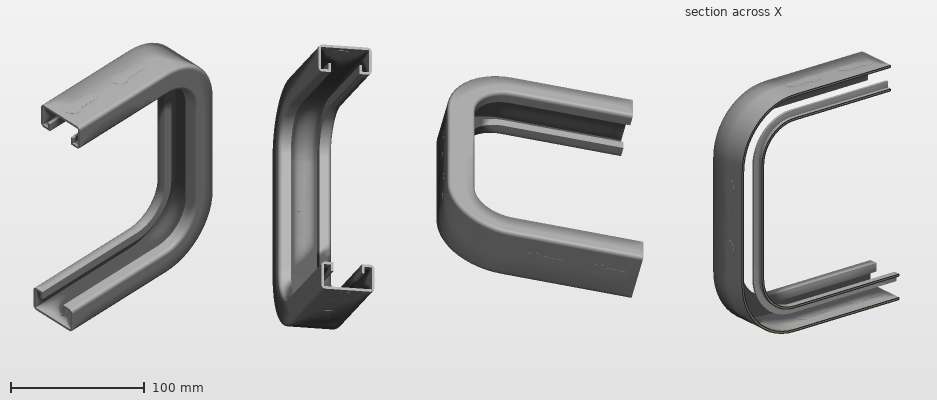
import cadquery as cq
import math

width = 41.0
depth = 21.0
wall = 2.0
corner_radius = 3.25
slot_opening = 22.0
lip_depth = 7.0
lip_thickness = 2.0

body_height = 191.78
lower_arm_reach = 150.0
upper_arm_setback = 8.0
bend_radius = 50.0
upper_arm_reach = lower_arm_reach - upper_arm_setback
half_height = body_height / 2

arc_inset = 1 - math.sqrt(0.5)

pad_head_radius = 6.5
pad_slot_radius = 4.25
pad_slot_length = 19.5
pad_pitch = 50.0
pads_per_web = 2
pad_proud = 0.2
pad_end_margin = 6.0
pad_web_margin = 9.6

pad_thickness = wall + 2 * pad_proud


def channel_section():
    """Lipped channel section: right half drawn from the web inwards, then mirrored."""
    half_width = width / 2
    half_slot = slot_opening / 2
    corner_mid = corner_radius * arc_inset
    return (
        cq.Workplane("XZ", origin=(0, -lower_arm_reach, -half_height))
        .moveTo(0, 0)
        .lineTo(half_width - corner_radius, 0)
        .threePointArc((half_width - corner_mid, corner_mid), (half_width, corner_radius))
        .lineTo(half_width, depth - corner_radius)
        .threePointArc((half_width - corner_mid, depth - corner_mid), (half_width - corner_radius, depth))
        .lineTo(half_slot, depth)
        .lineTo(half_slot, depth - lip_depth)
        .lineTo(half_slot + lip_thickness, depth - lip_depth)
        .lineTo(half_slot + lip_thickness, depth - wall)
        .lineTo(half_width - wall, depth - wall)
        .lineTo(half_width - wall, wall)
        .lineTo(0, wall)
        .mirrorY()
    )


def web_path():
    """Outer web line: lower arm, bend, upright, bend, upper arm; upright's back at Y = 0."""
    bend_mid = bend_radius * arc_inset
    return (
        cq.Workplane("YZ")
        .moveTo(-lower_arm_reach, -half_height)
        .lineTo(-bend_radius, -half_height)
        .threePointArc((-bend_mid, -half_height + bend_mid), (0, -half_height + bend_radius))
        .lineTo(0, half_height - bend_radius)
        .threePointArc((-bend_mid, half_height - bend_mid), (-bend_radius, half_height))
        .lineTo(-upper_arm_reach, half_height)
    )


def keyhole_pads(head_centre, slot_direction, outward):
    """Keyhole pads through one web, one pitch apart along the slot direction."""
    start = cq.Vector(*head_centre)
    along = cq.Vector(*slot_direction)
    normal = cq.Vector(*outward)
    pads = cq.Workplane()
    for index in range(pads_per_web):
        origin = start + along * (index * pad_pitch) + normal * pad_proud
        plane = cq.Plane(origin=origin, xDir=along, normal=normal)
        head = cq.Workplane(plane).circle(pad_head_radius).extrude(-pad_thickness)
        slot = (
            cq.Workplane(plane)
            .center(pad_slot_length / 2, 0)
            .slot2D(pad_slot_length + 2 * pad_slot_radius, 2 * pad_slot_radius)
            .extrude(-pad_thickness)
        )
        pads = pads.add(head.union(slot))
    return pads.combine()


upper_head_y = -upper_arm_reach + pad_end_margin + pad_head_radius
upright_head_z = half_height - bend_radius - pad_web_margin - pad_head_radius
lower_slot_end_y = -lower_arm_reach + pad_end_margin + pad_slot_radius
lower_head_y = lower_slot_end_y + pad_slot_length + (pads_per_web - 1) * pad_pitch

channel = channel_section().sweep(web_path())
upper_pads = keyhole_pads((0, upper_head_y, half_height), (0, 1, 0), (0, 0, 1))
upright_pads = keyhole_pads((0, 0, upright_head_z), (0, 0, -1), (0, 1, 0))
lower_pads = keyhole_pads((0, lower_head_y, -half_height), (0, -1, 0), (0, 0, -1))

result = channel.union(upper_pads).union(upright_pads).union(lower_pads)